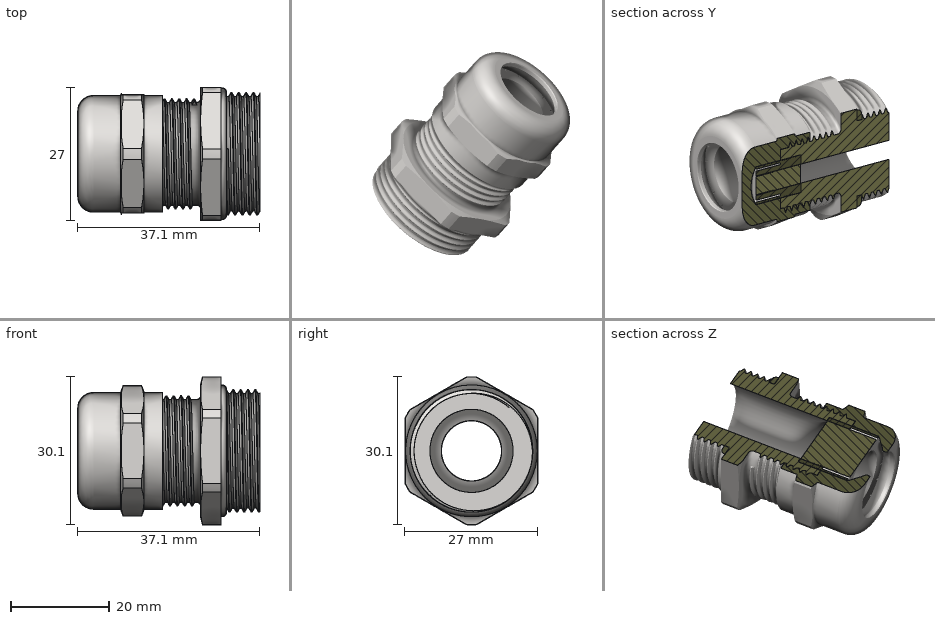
import cadquery as cq
import math


total_length = 37.07

thread_pitch = 7.5 / 5
thread_half_angle = 30.0
thread_crest_width = 0.15
thread_embed = 0.1

nut_length = 17.25
nut_diameter = 23.72
nut_face_diameter = 17.27
nut_hex_start = 8.7
nut_hex_end = 13.5
nut_hex_across_flats = 24.02
nut_hex_corner_diameter = 26.55
nut_hex_chamfer = 0.52
nut_ridge_diameter = 24.55
nut_mouth_diameter = 14.25
nut_mouth_edge_diameter = 14.4
nut_mouth_edge_depth = 0.22
nut_mouth_length = 1.0

insert_start = 3.55
insert_end = 14.83
claw_diameter = 18.3
claw_finger_count = 16
claw_slot_width = 0.3
seal_diameter = 16.9
seal_bore_diameter = 12.2

body_start = 9.65
neck_diameter = 20.95
neck_thread_diameter = 22.4
neck_thread_turns = 8.5
neck_thread_end = 23.7
neck_thread_end_angle = 18.0
flange_start = 24.95
flange_end = 29.1
flange_across_flats = 27.0
flange_corner_diameter = 30.05
flange_face_diameter = 26.9
flange_chamfer = 0.4
neck_fillet = 0.7
end_core_diameter = 23.3
end_thread_diameter = 24.9
end_thread_start = 30.05
end_thread_start_angle = 85.0
end_thread_turns = 5.2

gasket_end = 30.2
gasket_diameter = 26.75
gasket_edge_radius = 0.93


def cylinder(start, end, diameter):
    """Solid cylinder about the X axis."""
    return cq.Workplane("YZ", origin=(start, 0, 0)).circle(diameter / 2).extrude(end - start)


def tube(start, end, outer_diameter, inner_diameter):
    """Hollow cylinder about the X axis."""
    return cylinder(start, end, outer_diameter).cut(cylinder(start, end, inner_diameter))


def frustum(start, end, start_diameter, end_diameter):
    """Solid cone section about the X axis."""
    outline = [(start, 0), (start, start_diameter / 2), (end, end_diameter / 2), (end, 0)]
    return cq.Workplane("XY").polyline(outline).close().revolve(360, (0, 0, 0), (1, 0, 0))


def hex_prism(start, end, across_flats):
    """Hexagonal prism along X with flats on +Y and -Y and corners on +Z and -Z."""
    corner_to_corner = across_flats / math.cos(math.radians(30))
    prism = cq.Workplane("YZ", origin=(start, 0, 0)).polygon(6, corner_to_corner).extrude(end - start)
    return prism.rotate((0, 0, 0), (1, 0, 0), 90)


def thread_ridge(core_diameter, crest_diameter, start, turns, start_angle):
    """Right-handed helical ridge about X whose crest begins at `start` and `start_angle`."""
    root_radius = core_diameter / 2 - thread_embed
    crest_radius = crest_diameter / 2
    half_crest = thread_crest_width / 2
    half_base = half_crest + (crest_radius - root_radius) * math.tan(math.radians(thread_half_angle))
    path = cq.Wire.makeHelix(thread_pitch, turns * thread_pitch, root_radius)
    profile = (
        cq.Workplane("XZ")
        .moveTo(root_radius, -half_base)
        .lineTo(crest_radius, -half_crest)
        .lineTo(crest_radius, half_crest)
        .lineTo(root_radius, half_base)
        .close()
    )
    ridge = profile.sweep(cq.Workplane(path), isFrenet=True)
    return (
        ridge.rotate((0, 0, 0), (0, 1, 0), 90)
        .rotate((0, 0, 0), (1, 0, 0), start_angle + 90)
        .translate((start, 0, 0))
    )


def make_flange():
    corner_start = flange_start + flange_chamfer
    envelope = frustum(flange_start, corner_start, flange_face_diameter, flange_corner_diameter).union(
        cylinder(corner_start, flange_end, flange_corner_diameter)
    )
    return hex_prism(flange_start, flange_end, flange_across_flats).intersect(envelope)


def make_neck_flare():
    """Neck section that curves outward into the flange through a concave quarter circle."""
    neck_radius = neck_diameter / 2
    flare_start = flange_start - neck_fillet
    diagonal = neck_fillet * math.sqrt(0.5)
    arc_middle = (flare_start + diagonal, neck_radius + neck_fillet - diagonal)
    return (
        cq.Workplane("XY")
        .moveTo(flare_start, 0)
        .lineTo(flare_start, neck_radius)
        .threePointArc(arc_middle, (flange_start, neck_radius + neck_fillet))
        .lineTo(flange_start, 0)
        .close()
        .revolve(360, (0, 0, 0), (1, 0, 0))
    )


def make_neck_thread():
    start = neck_thread_end - neck_thread_turns * thread_pitch
    start_angle = neck_thread_end_angle - 360 * neck_thread_turns
    return thread_ridge(neck_diameter, neck_thread_diameter, start, neck_thread_turns, start_angle)


def make_end_thread():
    """End thread, trimmed flush with the gasket and with the end of the body."""
    ridge = thread_ridge(
        end_core_diameter, end_thread_diameter, end_thread_start, end_thread_turns, end_thread_start_angle
    )
    return ridge.intersect(cylinder(gasket_end, total_length, flange_corner_diameter))


def make_body():
    return (
        cylinder(body_start, flange_start, neck_diameter)
        .union(make_neck_flare())
        .union(make_flange())
        .union(cylinder(flange_end, total_length, end_core_diameter))
        .cut(cylinder(body_start, insert_end, claw_diameter))
        .cut(cylinder(insert_end, total_length, seal_diameter))
        .union(make_neck_thread())
        .union(make_end_thread())
    )


def make_nut_shell():
    dome_radius = (nut_diameter - nut_face_diameter) / 2
    return cylinder(0, nut_length, nut_diameter).faces("<X").edges().fillet(dome_radius)


def make_nut_hex():
    """Hexagon with both rims chamfered by cones, and a thin ridge on the cone nearer the dome."""
    corner_start = nut_hex_start + nut_hex_chamfer
    corner_end = nut_hex_end - nut_hex_chamfer
    envelope = (
        frustum(nut_hex_start, corner_start, nut_diameter, nut_hex_corner_diameter)
        .union(cylinder(corner_start, corner_end, nut_hex_corner_diameter))
        .union(frustum(corner_end, nut_hex_end, nut_hex_corner_diameter, nut_diameter))
    )
    cone_share = (nut_ridge_diameter - nut_diameter) / (nut_hex_corner_diameter - nut_diameter)
    ridge_end = nut_hex_start + nut_hex_chamfer * cone_share
    ridge = frustum(nut_hex_start, ridge_end, nut_diameter, nut_ridge_diameter)
    return hex_prism(nut_hex_start, nut_hex_end, nut_hex_across_flats).intersect(envelope).union(ridge)


def make_nut_cavity():
    """Chamfered mouth, cone that widens to the claw, claw chamber and neck bore."""
    return (
        cylinder(0, nut_mouth_length, nut_mouth_diameter)
        .union(frustum(0, nut_mouth_edge_depth, nut_mouth_edge_diameter, nut_mouth_diameter))
        .union(frustum(nut_mouth_length, insert_start, nut_mouth_diameter, claw_diameter))
        .union(cylinder(insert_start, body_start, claw_diameter))
        .union(cylinder(body_start, nut_length, neck_diameter))
    )


def make_nut(body):
    """Cutting the body out of the bore leaves the mating thread in the nut."""
    return make_nut_shell().union(make_nut_hex()).cut(make_nut_cavity()).cut(body)


def make_claw():
    claw = tube(insert_start, insert_end, claw_diameter, seal_diameter)
    slot_length = body_start - insert_start
    slot = cq.Workplane("XY").box(
        slot_length, claw_diameter, claw_slot_width, centered=(False, False, True)
    ).translate((insert_start, 0, 0))
    for index in range(claw_finger_count):
        claw = claw.cut(slot.rotate((0, 0, 0), (1, 0, 0), index * 360 / claw_finger_count))
    return claw


def make_seal():
    return tube(insert_start, insert_end, seal_diameter, seal_bore_diameter)


def make_gasket():
    disc = cylinder(flange_end, gasket_end, gasket_diameter).faces(">X").edges().fillet(gasket_edge_radius)
    return disc.cut(cylinder(flange_end, gasket_end, end_core_diameter))


body = make_body()
nut = make_nut(body)
claw = make_claw()
seal = make_seal()
gasket = make_gasket()

result = cq.Compound.makeCompound(
    [
        *body.solids().vals(),
        *nut.solids().vals(),
        *claw.solids().vals(),
        *seal.solids().vals(),
        *gasket.solids().vals(),
    ]
)